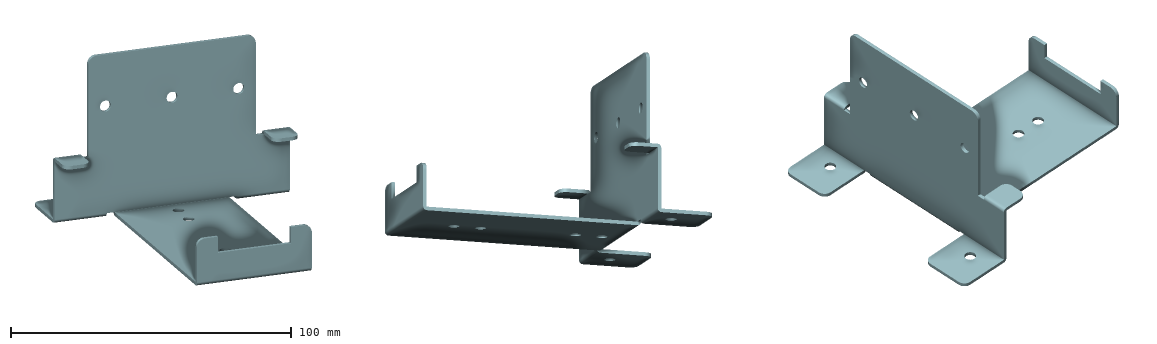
import cadquery as cq

sheet = 1.3
bend_radius = 1.4
corner_radius = 2.9
hole_diameter = 4.2

overall_length = 101.6
overall_width = 90.0
overall_height = 61.5

wall_left = 19.9
wall_right = wall_left + sheet
shoulder_height = 23.5
upper_wall_width = 64.0
wall_hole_spacing = 25.5
wall_hole_height = 42.0

foot_width = 20.0
foot_hole_x = 13.0
foot_offset = (overall_width - foot_width) / 2

tab_width = 10.1
tab_length = 11.4
tab_end = wall_left + tab_length
tab_offset = (overall_width - tab_width) / 2
tab_top = shoulder_height + bend_radius

platform_width = 43.9
platform_hole_positions = (27.4, 37.4, 72.9, 82.9)
lip_height = 17.8
lip_notch_width = 28.0
lip_notch_bottom = 11.7


def box(x_range, width, z_range, y_center=0):
    """Block between two X and two Z positions, centred on y_center."""
    x_size = x_range[1] - x_range[0]
    z_size = z_range[1] - z_range[0]
    block = cq.Workplane("XY").box(x_size, width, z_size, centered=(False, True, False))
    return block.translate((x_range[0], y_center, z_range[0]))


def bend(x_axis, z_axis, x_side, z_side, width, y_center=0):
    """Quarter-round bend about a Y axis, filling the quadrant given by the two signs."""
    ring = (
        cq.Workplane("XZ", origin=(x_axis, y_center, z_axis))
        .circle(bend_radius)
        .circle(bend_radius - sheet)
        .extrude(width / 2, both=True)
    )
    x_range = sorted((x_axis, x_axis + x_side * bend_radius))
    z_range = sorted((z_axis, z_axis + z_side * bend_radius))
    return ring.intersect(box(x_range, width, z_range, y_center))


def base_drills(positions):
    """Cylinders to cut out of the base sheet at the given (x, y) positions."""
    return cq.Workplane("XY").pushPoints(positions).circle(hole_diameter / 2).extrude(sheet)


def make_wall():
    lower = box((wall_left, wall_right), overall_width, (bend_radius, shoulder_height))
    upper = box((wall_left, wall_right), upper_wall_width, (shoulder_height, overall_height))
    upper = upper.edges("|X and >Z").fillet(corner_radius)
    hole_centers = [(side * wall_hole_spacing, wall_hole_height) for side in (-1, 0, 1)]
    drills = (
        cq.Workplane("YZ", origin=(wall_left, 0, 0))
        .pushPoints(hole_centers)
        .circle(hole_diameter / 2)
        .extrude(sheet)
    )
    return lower.union(upper).cut(drills)


def make_foot(side):
    y_center = side * foot_offset
    bend_axis_x = wall_right - bend_radius
    flat = box((0, bend_axis_x), foot_width, (0, sheet), y_center)
    flat = flat.edges("|Z and <X").fillet(corner_radius)
    flat = flat.cut(base_drills([(foot_hole_x, y_center)]))
    return flat.union(bend(bend_axis_x, bend_radius, 1, -1, foot_width, y_center))


def make_tab(side):
    y_center = side * tab_offset
    bend_axis_x = wall_left + bend_radius
    flat = box((bend_axis_x, tab_end), tab_width, (tab_top - sheet, tab_top), y_center)
    flat = flat.edges("|Z and >X").fillet(corner_radius)
    return flat.union(bend(bend_axis_x, shoulder_height, -1, 1, tab_width, y_center))


def make_platform():
    near_axis_x = wall_left + bend_radius
    far_axis_x = overall_length - bend_radius
    flat = box((near_axis_x, far_axis_x), platform_width, (0, sheet))
    flat = flat.cut(base_drills([(x, 0) for x in platform_hole_positions]))
    near_bend = bend(near_axis_x, bend_radius, -1, -1, platform_width)
    far_bend = bend(far_axis_x, bend_radius, 1, -1, platform_width)
    return flat.union(near_bend).union(far_bend)


def make_lip():
    lip_faces = (overall_length - sheet, overall_length)
    lip = box(lip_faces, platform_width, (bend_radius, lip_height))
    lip = lip.edges("|X and >Z").fillet(corner_radius)
    return lip.cut(box(lip_faces, lip_notch_width, (lip_notch_bottom, lip_height)))


result = make_wall().union(make_platform()).union(make_lip())
for side in (-1, 1):
    result = result.union(make_foot(side)).union(make_tab(side))